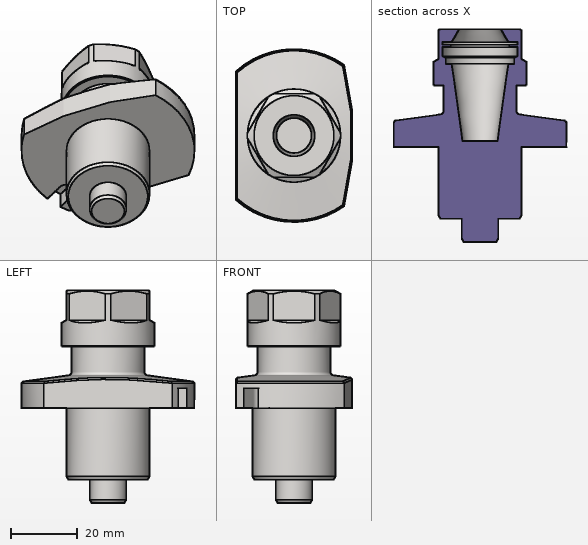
import cadquery as cq
import math


shank_dia = 25.0
shank_length = 21.5
pin_dia = 11.0
pin_length = 7.0
end_chamfer_height = 1.0
end_chamfer_angle = 30.0

flange_dia = 52.0
flange_half_width = 17.5
flange_rim_height = 8.0
flange_hub_height = 9.9
flange_chamfer = 0.5
nose_half_length = 7.5
nose_angle = 10.0

notch_width = 5.0
notch_height = 6.0
notch_end_center = 20.0
notch_direction = 240.0

neck_dia = 22.0
neck_fillet = 1.0

nut_bottom = 18.5
nut_height = 17.0
nut_dia = 28.0
nut_across_flats = 25.0
nut_bottom_chamfer = 0.3
hex_length = 9.0
hex_top_dia = 24.0
hex_chamfer_angle = 30.0
hex_sides = 6

mouth_dia = 12.5
flare_dia = 17.0
flare_angle = 30.0
chamber_dia = 22.5
chamber_depth = 8.1
well_dia = 20.5
well_depth = 10.5
ledge_angle = 30.0

ring_dia = 17.8
ring_offset = 1.95
ring_thickness = 0.75
ring_bottom_depth = 5.45

socket_top_dia = 17.0
socket_end_dia = 10.5
socket_angle = 8.0

nut_top = nut_bottom + nut_height
flange_radius = flange_dia / 2


def tan_deg(angle):
    return math.tan(math.radians(angle))


def turned(points):
    """Solid of revolution about Z from (radius, height) points."""
    return cq.Workplane("XZ").polyline(points).close().revolve(360, (0, 0, 0), (0, 1, 0))


def chamfered_rod(diameter, bottom, top):
    """Rod with a steep chamfer around its lower end."""
    radius = diameter / 2
    end_radius = radius - end_chamfer_height * tan_deg(end_chamfer_angle)
    return turned([
        (0, bottom),
        (end_radius, bottom),
        (radius, bottom + end_chamfer_height),
        (radius, top),
        (0, top),
    ])


def make_flange():
    """Disc with a conical top, one flat side and one bent side."""
    hub_radius = neck_dia / 2 + neck_fillet
    disc = turned([
        (0, 0),
        (flange_radius, 0),
        (flange_radius, flange_rim_height),
        (hub_radius, flange_hub_height),
        (0, flange_hub_height),
    ])
    nose_back = flange_half_width - (flange_radius - nose_half_length) * tan_deg(nose_angle)
    outline = (
        cq.Workplane("XY")
        .moveTo(-flange_half_width, -flange_radius)
        .lineTo(nose_back, -flange_radius)
        .lineTo(flange_half_width, -nose_half_length)
        .lineTo(flange_half_width, nose_half_length)
        .lineTo(nose_back, flange_radius)
        .lineTo(-flange_half_width, flange_radius)
        .close()
        .extrude(flange_hub_height)
    )
    trimmed = disc.intersect(outline)
    return trimmed.faces("%CONE").edges("not >Z").chamfer(flange_chamfer)


def make_notch():
    """Radial slot cutter with a round inner end, open at the rim and at the underside."""
    straight_length = flange_radius - notch_end_center
    straight_part = (
        cq.Workplane("XY")
        .moveTo(notch_end_center + straight_length / 2, 0)
        .rect(straight_length, notch_width)
        .extrude(notch_height)
    )
    round_end = (
        cq.Workplane("XY")
        .moveTo(notch_end_center, 0)
        .circle(notch_width / 2)
        .extrude(notch_height)
    )
    return straight_part.union(round_end).rotate((0, 0, 0), (0, 0, 1), notch_direction)


def make_neck():
    """Neck with a concave fillet at the flange."""
    radius = neck_dia / 2
    fillet_top = flange_hub_height + neck_fillet
    return (
        cq.Workplane("XZ")
        .moveTo(0, 0)
        .lineTo(radius + neck_fillet, 0)
        .lineTo(radius + neck_fillet, flange_hub_height)
        .radiusArc((radius, fillet_top), neck_fillet)
        .lineTo(radius, nut_bottom)
        .lineTo(0, nut_bottom)
        .close()
        .revolve(360, (0, 0, 0), (0, 1, 0))
    )


def make_nut():
    """Round nut with a chamfered hexagon on its upper part."""
    radius = nut_dia / 2
    top_radius = hex_top_dia / 2
    nut = turned([
        (0, nut_bottom),
        (radius - nut_bottom_chamfer, nut_bottom),
        (radius, nut_bottom + nut_bottom_chamfer),
        (radius, nut_top - (radius - top_radius) * tan_deg(hex_chamfer_angle)),
        (top_radius, nut_top),
        (0, nut_top),
    ])
    flat_distance = nut_across_flats / 2
    flat_bottom = nut_top - hex_length
    run_out = radius - flat_distance
    flat_cutter = (
        cq.Workplane("XZ")
        .moveTo(flat_distance, flat_bottom)
        .lineTo(radius, flat_bottom - run_out * tan_deg(hex_chamfer_angle))
        .lineTo(radius, nut_top)
        .lineTo(flat_distance, nut_top)
        .close()
        .extrude(radius, both=True)
    )
    corner_on_x_turn = 180 / hex_sides
    for side in range(hex_sides):
        turn = corner_on_x_turn + side * 360 / hex_sides
        nut = nut.cut(flat_cutter.rotate((0, 0, 0), (0, 0, 1), turn))
    return nut


def make_bore():
    """Mouth that flares into a stepped chamber, with a tapered blind socket under it."""
    mouth_radius = mouth_dia / 2
    flare_radius = flare_dia / 2
    chamber_radius = chamber_dia / 2
    well_radius = well_dia / 2
    socket_top_radius = socket_top_dia / 2
    socket_end_radius = socket_end_dia / 2
    chamber_ceiling = nut_top - (flare_radius - mouth_radius) / tan_deg(flare_angle)
    ledge_top = nut_top - chamber_depth
    ledge_drop = (chamber_radius - well_radius) * tan_deg(ledge_angle)
    well_floor = nut_top - well_depth
    socket_end = well_floor - (socket_top_radius - socket_end_radius) / tan_deg(socket_angle)
    return turned([
        (0, nut_top),
        (mouth_radius, nut_top),
        (flare_radius, chamber_ceiling),
        (chamber_radius, chamber_ceiling),
        (chamber_radius, ledge_top),
        (well_radius, ledge_top - ledge_drop),
        (well_radius, well_floor),
        (socket_top_radius, well_floor),
        (socket_end_radius, socket_end),
        (0, socket_end),
    ])


def make_ring():
    """Collet extraction ring: a thin washer whose hole is shifted toward +X."""
    ring_bottom = nut_top - ring_bottom_depth
    washer = (
        cq.Workplane("XY", origin=(0, 0, ring_bottom))
        .circle(nut_across_flats / 2)
        .extrude(ring_thickness)
    )
    hole = (
        cq.Workplane("XY", origin=(ring_offset, 0, ring_bottom))
        .circle(ring_dia / 2)
        .extrude(ring_thickness)
    )
    return washer.cut(hole)


shank = chamfered_rod(shank_dia, -shank_length, 0)
pin = chamfered_rod(pin_dia, -shank_length - pin_length, 0)
flange = make_flange().cut(make_notch())
bore = make_bore().cut(make_ring())

result = flange.union(shank).union(pin).union(make_neck()).union(make_nut()).cut(bore)